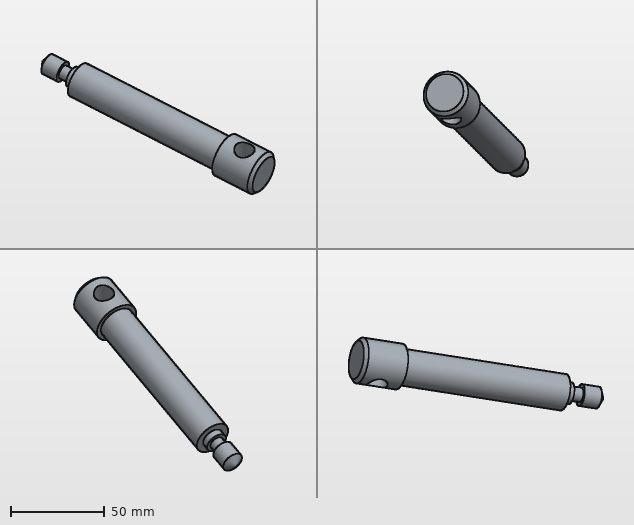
import cadquery as cq
import math

overall_length = 144.5
head_diameter = 25.0
head_length = 25.0
head_chamfer = 2.0
cross_hole_diameter = 11.0
shaft_diameter = 20.0
collar_diameter = 12.0
collar_length = 4.0
neck_diameter = 8.0
neck_length = 6.0
tip_diameter = 12.0
tip_length = 10.0
tip_cone_angle = 120.0

cone_length = tip_diameter / 2 / math.tan(math.radians(tip_cone_angle / 2))
shaft_length = overall_length - cone_length - tip_length - neck_length - collar_length - head_length


def add_section(body, diameter, length):
    """Add a coaxial cylinder to the +X end of the body."""
    return body.faces(">X").workplane(centerOption="CenterOfBoundBox").circle(diameter / 2).extrude(length)


def pointed_tip():
    """Cone with its apex at the origin, opening toward +X."""
    profile = (
        cq.Workplane("XY")
        .lineTo(cone_length, tip_diameter / 2)
        .lineTo(cone_length, 0)
        .close()
    )
    return profile.revolve(360, (0, 0, 0), (1, 0, 0))


def cross_hole():
    """Hole along Z through the middle of the head."""
    return (
        cq.Workplane("XY")
        .center(overall_length - head_length / 2, 0)
        .circle(cross_hole_diameter / 2)
        .extrude(head_diameter, both=True)
    )


sections = [
    (tip_diameter, tip_length),
    (neck_diameter, neck_length),
    (collar_diameter, collar_length),
    (shaft_diameter, shaft_length),
    (head_diameter, head_length),
]

pin = pointed_tip()
for diameter, length in sections:
    pin = add_section(pin, diameter, length)

pin = pin.faces(">X").edges().chamfer(head_chamfer)
result = pin.cut(cross_hole())